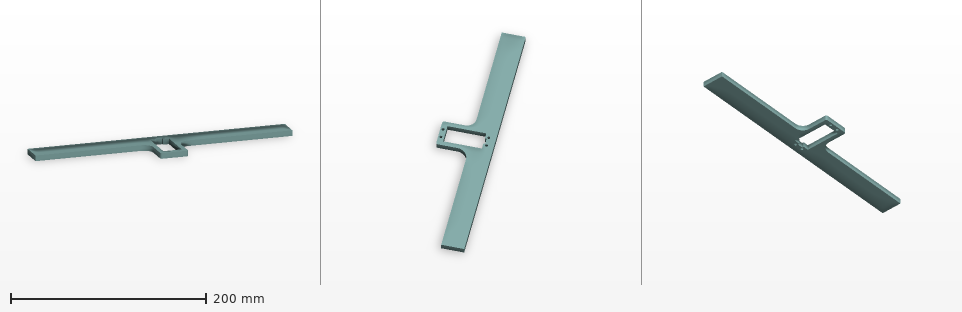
import cadquery as cq

length = 278.0
thickness = 6.0
overall_width = 58.65

upper_arm_width = 24.2
lower_arm_width = 25.2

tab_height = 30.0
upper_fillet_radius = 12.0
lower_fillet_radius = 10.0
tab_corner_radius = 2.0

window_center_x = 31.8
window_width = 40.8
window_height = 19.8
notch_depth = 1.9
notch_height = 6.6
window_left = window_center_x - window_width / 2

screw_diameter = 3.0
screw_spacing_x = 48.0
screw_spacing_y = 10.0


def make_plate():
    half_length = length / 2
    half_tab = tab_height / 2
    outline = [
        (0, -half_length),
        (lower_arm_width, -half_length),
        (lower_arm_width, -half_tab),
        (overall_width, -half_tab),
        (overall_width, half_tab),
        (upper_arm_width, half_tab),
        (upper_arm_width, half_length),
        (0, half_length),
    ]
    plate = cq.Workplane("XY").polyline(outline).close().extrude(thickness)

    def round_upright_edge(body, x, y, radius):
        edge = cq.selectors.NearestToPointSelector((x, y, thickness / 2))
        return body.edges("|Z").edges(edge).fillet(radius)

    plate = round_upright_edge(plate, lower_arm_width, -half_tab, lower_fillet_radius)
    plate = round_upright_edge(plate, upper_arm_width, half_tab, upper_fillet_radius)
    for side in (-1, 1):
        plate = round_upright_edge(plate, overall_width, side * half_tab, tab_corner_radius)
    return plate


def make_window():
    window = (
        cq.Workplane("XY")
        .center(window_left, 0)
        .rect(window_width, window_height, centered=(False, True))
        .extrude(thickness)
    )
    notch = (
        cq.Workplane("XY")
        .center(window_left, 0)
        .rect(2 * notch_depth, notch_height)
        .extrude(thickness)
    )
    return window.union(notch)


def make_screw_holes():
    return (
        cq.Workplane("XY")
        .center(window_center_x, 0)
        .rarray(screw_spacing_x, screw_spacing_y, 2, 2)
        .circle(screw_diameter / 2)
        .extrude(thickness)
    )


result = make_plate().cut(make_window()).cut(make_screw_holes())